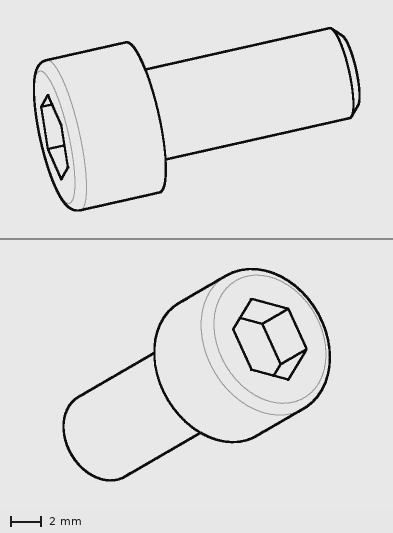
import cadquery as cq
import math

total_length = 20.0
head_diameter = total_length / 2
shank_diameter = 6.0
head_height = shank_diameter
shank_length = total_length - head_height

head_rim_radius = 0.6
tip_chamfer = 0.62
neck_fillet = 0.25

socket_across_flats = head_diameter / 2
socket_depth = head_height / 2


def make_body():
    """Head and shank as one revolved half profile, in (radius, Y) coordinates."""
    head_radius = head_diameter / 2
    shank_radius = shank_diameter / 2
    diagonal = math.sqrt(0.5)
    rim_mid = (
        head_radius - head_rim_radius * (1 - diagonal),
        -head_height + head_rim_radius * (1 - diagonal),
    )
    neck_mid = (
        shank_radius + neck_fillet * (1 - diagonal),
        neck_fillet * (1 - diagonal),
    )
    profile = (
        cq.Workplane("XY")
        .moveTo(0, -head_height)
        .lineTo(head_radius - head_rim_radius, -head_height)
        .threePointArc(rim_mid, (head_radius, -head_height + head_rim_radius))
        .lineTo(head_radius, 0)
        .lineTo(shank_radius + neck_fillet, 0)
        .threePointArc(neck_mid, (shank_radius, neck_fillet))
        .lineTo(shank_radius, shank_length - tip_chamfer)
        .lineTo(shank_radius - tip_chamfer, shank_length)
        .lineTo(0, shank_length)
        .close()
    )
    return profile.revolve(360, (0, 0), (0, 1))


def make_socket():
    """Flat-bottomed hexagonal socket with two corners on the X axis."""
    across_corners = socket_across_flats / math.cos(math.radians(30))
    return (
        cq.Workplane("XZ", origin=(0, -head_height, 0))
        .polygon(6, across_corners)
        .extrude(-socket_depth)
    )


result = make_body().cut(make_socket())